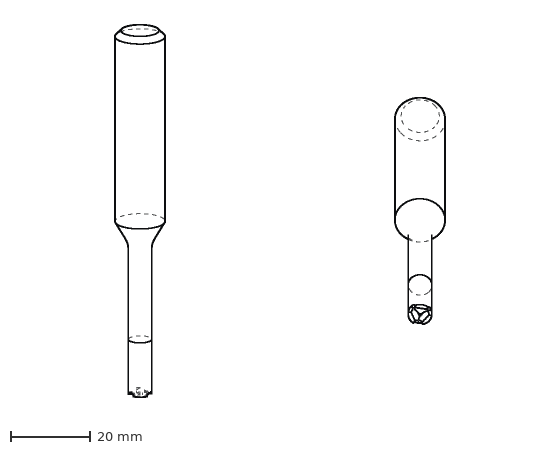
import cadquery as cq
import math

total_length = 96.5
shank_diameter = 12.7
neck_diameter = 6.0
tip_length = 14.5
cone_top = 45.8
cone_half_angle = 30.0
neck_blend_radius = 5.8
end_chamfer = 1.5

groove_count = 3
groove_radius = 0.8
groove_offset = 1.1

shank_radius = shank_diameter / 2
neck_radius = neck_diameter / 2
half_angle = math.radians(cone_half_angle)
cone_corner_z = cone_top - (shank_radius - neck_radius) / math.tan(half_angle)
blend_tangent = neck_blend_radius * math.tan(half_angle / 2)
blend_start_z = cone_corner_z - blend_tangent
blend_mid_radius = neck_radius + neck_blend_radius * (1 - math.cos(half_angle / 2))
blend_mid_z = blend_start_z + neck_blend_radius * math.sin(half_angle / 2)
blend_end_radius = neck_radius + blend_tangent * math.sin(half_angle)
blend_end_z = cone_corner_z + blend_tangent * math.cos(half_angle)


def make_shank():
    """Chamfered shank tapering through a concave blend into the slim neck."""
    return (
        cq.Workplane("XZ")
        .moveTo(0, tip_length)
        .lineTo(neck_radius, tip_length)
        .lineTo(neck_radius, blend_start_z)
        .threePointArc((blend_mid_radius, blend_mid_z), (blend_end_radius, blend_end_z))
        .lineTo(shank_radius, cone_top)
        .lineTo(shank_radius, total_length - end_chamfer)
        .lineTo(shank_radius - end_chamfer, total_length)
        .lineTo(0, total_length)
        .close()
        .revolve(360, (0, 0), (0, 1))
    )


def make_groove(angle):
    """Round cutter centred on the lower face along X, offset toward +Y, then turned about Z."""
    return (
        cq.Workplane("YZ")
        .center(groove_offset, 0)
        .circle(groove_radius)
        .extrude(neck_diameter, both=True)
        .rotate((0, 0, 0), (0, 0, 1), angle)
    )


def make_tip():
    """Cylindrical tip with grooves crossing its lower face in a triangle."""
    tip = cq.Workplane("XY").circle(neck_radius).extrude(tip_length)
    for index in range(groove_count):
        tip = tip.cut(make_groove(index * 360 / groove_count))
    return tip


shank = make_shank()
tip = make_tip()
result = cq.Compound.makeCompound([shank.val(), *tip.solids().vals()])